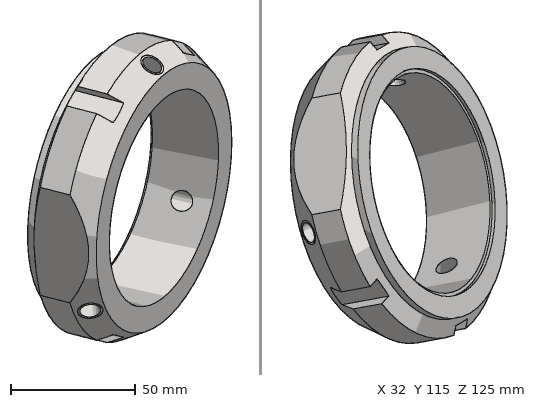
import cadquery as cq
import math

nut_length = 32.0
outer_radius = 125.0 / 2
collar_radius = 111.0 / 2
bore_radius = 90.0 / 2
counterbore_radius = 93.0 / 2
counterbore_depth = 1.5
collar_length = 3.0
across_flats = 115.0

bevel_angle = 30.0
bevel_slope = math.tan(math.radians(bevel_angle))
front_bevel_end = collar_length + (outer_radius - collar_radius) * bevel_slope
back_face_radius = 56.0
back_bevel_start = nut_length - (outer_radius - back_face_radius) / bevel_slope

slot_width = 10.0
slot_depth = 4.0
slot_floor_distance = outer_radius - slot_depth
slot_angles = (60, 120, 240, 300)

screw_count = 3
screw_first_angle = 90
screw_x = 26.6
screw_core_diameter = 8.38
spotface_diameter = 10.2
spotface_depth = 0.2

cut_margin = 5.0


def make_blank():
    """Revolve the ring section (X along the axis, Y as radius)."""
    section = (
        cq.Workplane("XY")
        .moveTo(0, counterbore_radius)
        .lineTo(0, collar_radius)
        .lineTo(collar_length, collar_radius)
        .lineTo(front_bevel_end, outer_radius)
        .lineTo(back_bevel_start, outer_radius)
        .lineTo(nut_length, back_face_radius)
        .lineTo(nut_length, bore_radius)
        .lineTo(counterbore_depth, bore_radius)
        .lineTo(counterbore_depth, counterbore_radius)
        .close()
    )
    return section.revolve(360, (0, 0, 0), (1, 0, 0))


def cut_flats(body):
    """Trim both Y sides to the width across flats."""
    envelope = cq.Workplane("XY").box(2 * nut_length, across_flats, 2 * outer_radius + cut_margin)
    return body.intersect(envelope.translate((nut_length / 2, 0, 0)))


def cut_slots(body):
    """Mill flat-floored slots right across the rim; angles run from +Y towards +Z."""
    slot_length = nut_length - collar_length
    slot = (
        cq.Workplane("XY")
        .box(slot_length, slot_depth + cut_margin, slot_width, centered=(False, False, True))
        .translate((collar_length, slot_floor_distance, 0))
    )
    for angle in slot_angles:
        body = body.cut(slot.rotate((0, 0, 0), (1, 0, 0), angle))
    return body


def cut_screw_holes(body):
    """Drill spotfaced holes square to the back bevel, from the bevel into the bore."""
    bevel_radius = outer_radius - (screw_x - back_bevel_start) * bevel_slope
    tilt = math.radians(bevel_angle)
    outward = cq.Vector(math.sin(tilt), math.cos(tilt), 0)
    mouth = cq.Vector(screw_x, bevel_radius, 0)
    depth = (bevel_radius - bore_radius) / math.cos(tilt) + cut_margin
    core_start = mouth - outward * depth
    core = cq.Solid.makeCylinder(screw_core_diameter / 2, depth + cut_margin, core_start, outward)
    spotface_floor = mouth - outward * spotface_depth
    spotface = cq.Solid.makeCylinder(spotface_diameter / 2, cut_margin, spotface_floor, outward)
    for index in range(screw_count):
        angle = screw_first_angle + index * 360 / screw_count
        for cutter in (core, spotface):
            body = body.cut(cq.Workplane(cutter).rotate((0, 0, 0), (1, 0, 0), angle))
    return body


result = cut_screw_holes(cut_slots(cut_flats(make_blank())))